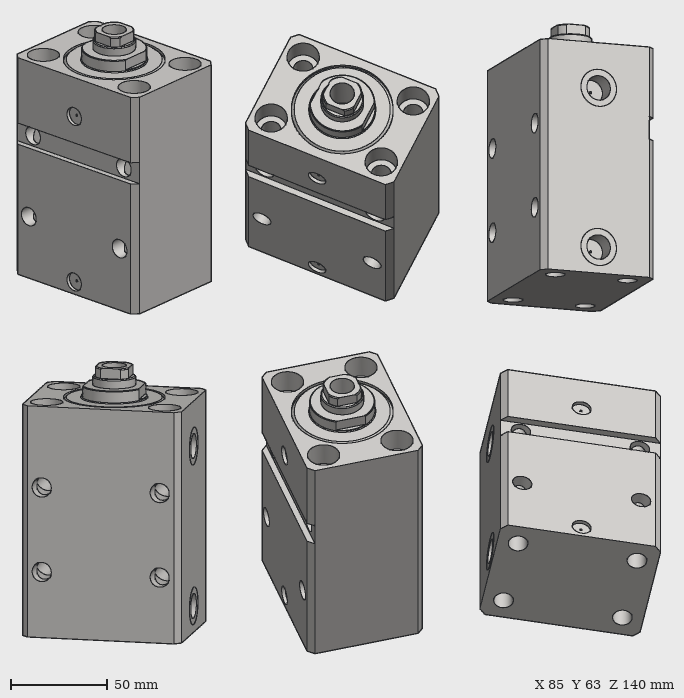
import cadquery as cq

BLOCK_X = 85.0
BLOCK_Y = 63.0
BLOCK_Z = 123.0
CORNER_CHAMFER = 3.4

HOLE_D = 10.2
HOLE_X = 31.5
VERTICAL_HOLE_Y = 20.0
COUNTERBORE_D = 16.8
COUNTERBORE_DEPTH = 12.6
UPPER_CROSS_Z = 80.0
LOWER_CROSS_Z = 35.0

SLOT_HEIGHT = 12.0
SLOT_DEPTH = CORNER_CHAMFER

PORT_Z = [14.0, 99.0]
PORT_D = 13.0
PORT_DEPTH = 12.0
SPOT_FACE_D = 19.7
SPOT_FACE_DEPTH = 0.1

BLEED_Z = [7.0, 101.0]
BLEED_D = 10.0
BLEED_DEPTH = 2.0

PILOT_D = 1.1
PILOT_DEPTH = 2.8

GLAND_D = 53.0
GLAND_LENGTH = 28.0
GLAND_CHAMFER = 1.5

TOTAL_Z = 140.0
ROD_D = 35.0
HEAD_D = 34.0
HEAD_CHAMFER = 0.4
HEAD_TOP_Z = 129.8
HEAD_FLATS = 30.0
FLATS_BOTTOM_Z = 124.0
NECK_D = 22.4
NECK_TOP_Z = 134.5
NECK_CHAMFER = 0.5
TIP_D = 20.6
TIP_SQUARE = 17.6
TIP_CHAMFER = 0.5
SOCKET_D = 12.6
SOCKET_DEPTH = 21.0
SOCKET_CONE_DEPTH = 3.6

GLAND_BOTTOM_Z = BLOCK_Z - GLAND_LENGTH


def cylinder(diameter, bottom_z, top_z):
    """Upright cylinder on the Z axis."""
    return cq.Workplane("XY").workplane(offset=bottom_z).circle(diameter / 2).extrude(top_z - bottom_z)


def drill_left(part, diameter, start_depth, end_depth, z):
    """Drill a round hole in +X, between two depths below the left face."""
    face_x = -BLOCK_X / 2
    plane = cq.Workplane("YZ", origin=(face_x + start_depth, 0, z))
    return part.cut(plane.circle(diameter / 2).extrude(end_depth - start_depth))


def drill_front(part, diameter, start_depth, end_depth, x, z):
    """Drill a round hole in +Y, between two depths below the front face."""
    face_y = -BLOCK_Y / 2
    plane = cq.Workplane("XZ", origin=(x, face_y + start_depth, z))
    return part.cut(plane.circle(diameter / 2).extrude(start_depth - end_depth))


def make_housing():
    body = cq.Workplane("XY").box(BLOCK_X, BLOCK_Y, BLOCK_Z, centered=(True, True, False))
    body = body.edges("|Z").chamfer(CORNER_CHAMFER)

    slot = cq.Workplane("XY").box(BLOCK_X, 2 * SLOT_DEPTH, SLOT_HEIGHT)
    body = body.cut(slot.translate((0, -BLOCK_Y / 2, UPPER_CROSS_Z)))

    body = (
        body.faces(">Z").workplane(origin=(0, 0, BLOCK_Z))
        .rarray(2 * HOLE_X, 2 * VERTICAL_HOLE_Y, 2, 2)
        .cboreHole(HOLE_D, COUNTERBORE_D, COUNTERBORE_DEPTH)
    )

    for z in [LOWER_CROSS_Z, UPPER_CROSS_Z]:
        for x in [-HOLE_X, HOLE_X]:
            body = drill_front(body, HOLE_D, 0, BLOCK_Y, x, z)

    for z in PORT_Z:
        body = drill_left(body, SPOT_FACE_D, 0, SPOT_FACE_DEPTH, z)
        body = drill_left(body, PORT_D, 0, PORT_DEPTH, z)
        body = drill_left(body, PILOT_D, PORT_DEPTH, PORT_DEPTH + PILOT_DEPTH, z)

    for z in BLEED_Z:
        body = drill_front(body, BLEED_D, 0, BLEED_DEPTH, 0, z)
        body = drill_front(body, PILOT_D, BLEED_DEPTH, BLEED_DEPTH + PILOT_DEPTH, 0, z)

    return body.cut(cylinder(GLAND_D, GLAND_BOTTOM_Z, BLOCK_Z))


def make_gland():
    bushing = cylinder(GLAND_D, GLAND_BOTTOM_Z, BLOCK_Z).faces(">Z").chamfer(GLAND_CHAMFER)
    return bushing.cut(cylinder(ROD_D, GLAND_BOTTOM_Z, BLOCK_Z))


def make_rod():
    taper_height = (ROD_D - HEAD_D) / 2
    shank = cylinder(ROD_D, GLAND_BOTTOM_Z, BLOCK_Z + taper_height).faces(">Z").chamfer(taper_height)

    head = cylinder(HEAD_D, BLOCK_Z, HEAD_TOP_Z).faces(">Z").chamfer(HEAD_CHAMFER)
    flats_height = HEAD_TOP_Z - FLATS_BOTTOM_Z
    flats_middle_z = (HEAD_TOP_Z + FLATS_BOTTOM_Z) / 2
    for side in [-1, 1]:
        relief = cq.Workplane("XY").box(HEAD_D, HEAD_D, flats_height)
        head = head.cut(relief.translate((side * (HEAD_FLATS + HEAD_D) / 2, 0, flats_middle_z)))

    neck = cylinder(NECK_D, HEAD_TOP_Z, NECK_TOP_Z).faces(">Z").chamfer(NECK_CHAMFER)
    tip = cylinder(TIP_D, NECK_TOP_Z, TOTAL_Z).faces(">Z").chamfer(TIP_CHAMFER)
    square = cq.Workplane("XY").workplane(offset=NECK_TOP_Z).rect(TIP_SQUARE, TIP_SQUARE)
    tip = tip.intersect(square.extrude(TOTAL_Z - NECK_TOP_Z))

    socket = (
        cq.Workplane("XZ")
        .moveTo(0, TOTAL_Z)
        .lineTo(SOCKET_D / 2, TOTAL_Z)
        .lineTo(SOCKET_D / 2, TOTAL_Z - SOCKET_DEPTH)
        .lineTo(0, TOTAL_Z - SOCKET_DEPTH - SOCKET_CONE_DEPTH)
        .close()
        .revolve(360, (0, 0, 0), (0, 1, 0))
    )
    return shank.union(head).union(neck).union(tip).cut(socket)


housing = make_housing()
gland = make_gland()
rod = make_rod()

result = cq.Compound.makeCompound([housing.val(), gland.val(), rod.val()])